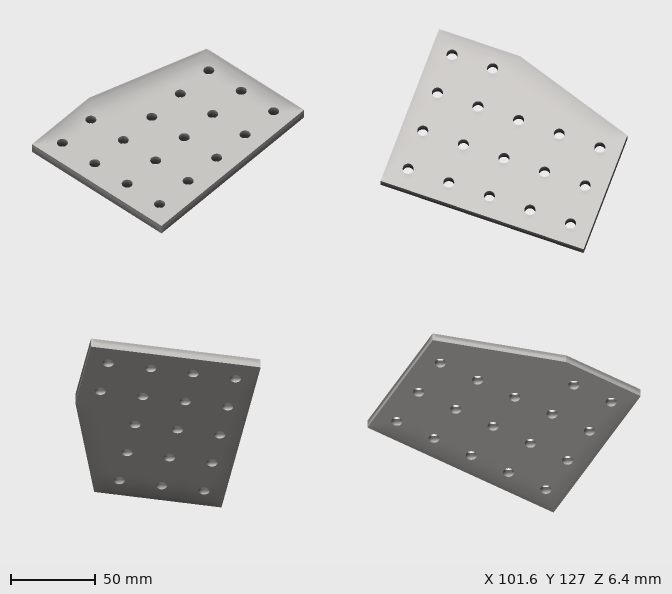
import cadquery as cq

cell = 25.4
columns = 4
rows = 5
thickness = 6.4
hole_diameter = 6.5

first_column_rows = 2
width = columns * cell
length = rows * cell
straight_side = first_column_rows * cell


def plate():
    """Rectangular plate with its -X, +Y corner cut off at a slant."""
    outline = [
        (0, 0),
        (width, 0),
        (width, length),
        (cell, length),
        (0, straight_side),
    ]
    return cq.Workplane("XY").polyline(outline).close().extrude(thickness)


def hole_centres():
    """Cell centres, leaving out the first-column cells lost to the cut."""
    return [
        ((column + 0.5) * cell, (row + 0.5) * cell)
        for column in range(columns)
        for row in range(rows)
        if column > 0 or row < first_column_rows
    ]


result = (
    plate()
    .faces(">Z")
    .workplane(origin=(0, 0, thickness))
    .pushPoints(hole_centres())
    .hole(hole_diameter)
)